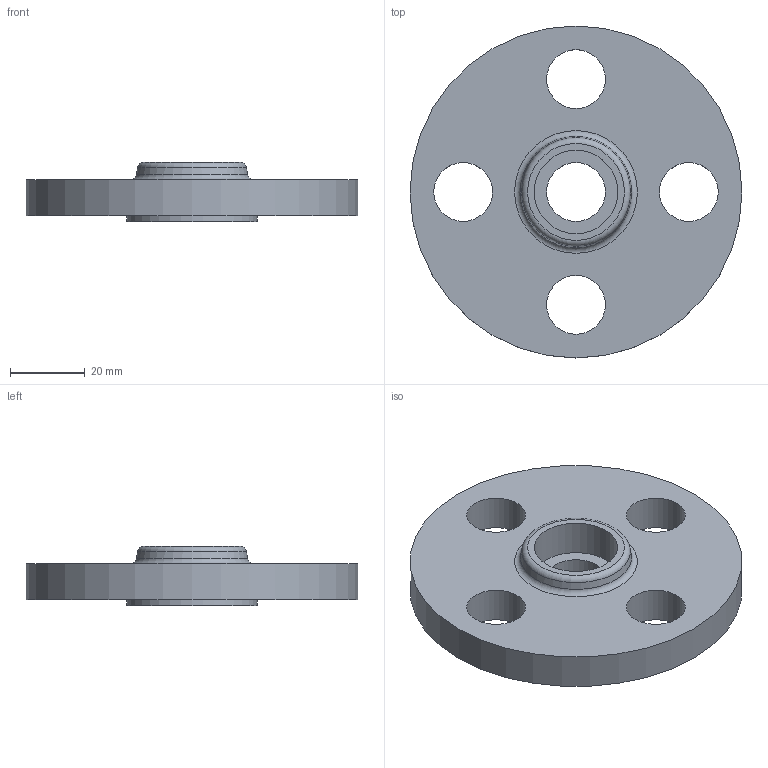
import cadquery as cq
import math

INCH = 25.4

flange_diameter = 3.5 * INCH
flange_thickness = 0.38 * INCH
raised_face_diameter = 1.38 * INCH
raised_face_height = INCH / 16

hub_height = 0.18 * INCH
hub_base_diameter = 1.19 * INCH
hub_draft = 10
hub_fillet_radius = INCH / 16

bore_diameter = 0.62 * INCH
socket_diameter = 0.88 * INCH
socket_depth = 0.38 * INCH

bolt_hole_count = 4
bolt_hole_diameter = 0.62 * INCH
bolt_circle_diameter = 2.38 * INCH

flange_top = raised_face_height + flange_thickness
hub_top = flange_top + hub_height
hub_base_radius = hub_base_diameter / 2
hub_top_radius = hub_base_radius - hub_height * math.tan(math.radians(hub_draft))


def make_body():
    """Revolve the raised face, the flange disc and the tapered hub as one solid."""
    raised_face_radius = raised_face_diameter / 2
    flange_radius = flange_diameter / 2
    profile = (
        cq.Workplane("XZ")
        .moveTo(0, 0)
        .lineTo(raised_face_radius, 0)
        .lineTo(raised_face_radius, raised_face_height)
        .lineTo(flange_radius, raised_face_height)
        .lineTo(flange_radius, flange_top)
        .lineTo(hub_base_radius, flange_top)
        .lineTo(hub_top_radius, hub_top)
        .lineTo(0, hub_top)
        .close()
    )
    return profile.revolve(360, (0, 0, 0), (0, 1, 0))


def round_hub(body):
    """Fillet the foot and the top rim of the hub."""
    hub_edges = body.faces("%CONE").edges("%CIRCLE")
    return hub_edges.fillet(hub_fillet_radius)


def cut_bore_and_socket(body):
    """Cut the through bore and the wider pipe socket, open at the hub end."""
    bore = cq.Workplane("XY").circle(bore_diameter / 2).extrude(hub_top)
    socket = (
        cq.Workplane("XY")
        .workplane(offset=hub_top)
        .circle(socket_diameter / 2)
        .extrude(-socket_depth)
    )
    return body.cut(bore).cut(socket)


def cut_bolt_holes(body):
    """Cut the ring of bolt holes through the flange, the first one on +X."""
    holes = (
        cq.Workplane("XY")
        .polarArray(bolt_circle_diameter / 2, 0, 360, bolt_hole_count)
        .circle(bolt_hole_diameter / 2)
        .extrude(flange_top)
    )
    return body.cut(holes)


result = cut_bolt_holes(cut_bore_and_socket(round_hub(make_body())))